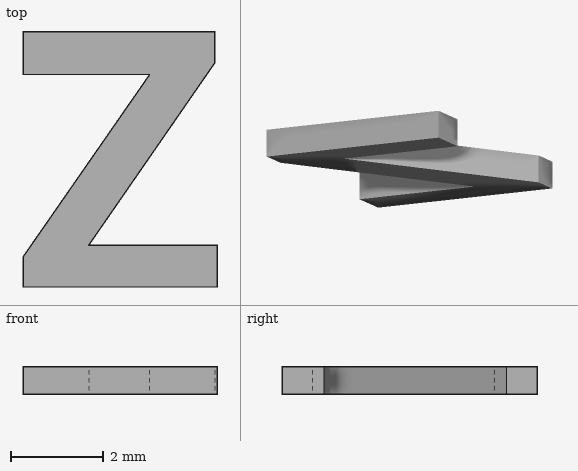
import cadquery as cq

width = 4.21
height = 5.53
thickness = 0.6

top_bar_width = 4.155
top_bar_depth = 0.93
bottom_bar_depth = 0.91

top_inner_corner_x = 2.74
bottom_inner_corner_x = 1.425
top_end_height = 0.675
bottom_end_height = 0.66

outline = [
    (0, 0),
    (width, 0),
    (width, bottom_bar_depth),
    (bottom_inner_corner_x, bottom_bar_depth),
    (top_bar_width, height - top_end_height),
    (top_bar_width, height),
    (0, height),
    (0, height - top_bar_depth),
    (top_inner_corner_x, height - top_bar_depth),
    (0, bottom_end_height),
]

result = cq.Workplane("XY").polyline(outline).close().extrude(thickness)